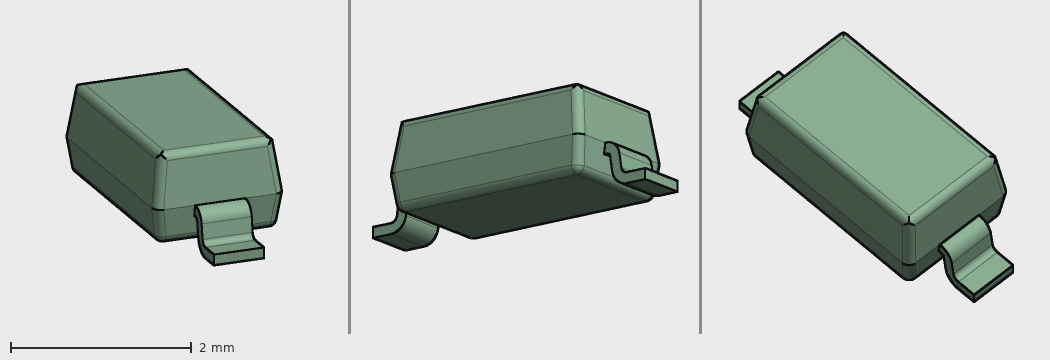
import cadquery as cq
import math

overall_length = 3.75
overall_height = 1.15

housing_length = 2.65
housing_width = 1.55
standoff = 0.098
parting_height = 0.52
draft_angle = 8.0
corner_radius = 0.1
rim_radius = 0.1

lead_width = 0.6
lead_thickness = 0.128
foot_length = 0.25
lead_slope = 9.0
foot_inner_radius = 0.08
shoulder_inner_radius = 0.052


def housing_half(height):
    """Drafted block from the parting plane; a negative height builds downward."""
    return (
        cq.Workplane("XY", origin=(0, 0, parting_height))
        .rect(housing_length, housing_width)
        .extrude(height, taper=draft_angle)
    )


def make_housing():
    upper_half = housing_half(overall_height - parting_height)
    lower_half = housing_half(standoff - parting_height)
    block = upper_half.union(lower_half)
    mitred_top = block.faces(">Z").edges().fillet(rim_radius)
    rounded_corners = block.edges("not(#Z)").fillet(corner_radius)
    rounded_bottom = rounded_corners.faces("<Z").edges().fillet(rim_radius)
    return rounded_bottom.intersect(mitred_top)


def make_left_lead(housing):
    """Bent strip whose inner end lies flush against the sloped housing face."""
    slope = math.radians(lead_slope)
    foot_outer_radius = foot_inner_radius + lead_thickness
    shoulder_outer_radius = shoulder_inner_radius + lead_thickness

    foot_end_x = -overall_length / 2
    foot_x = foot_end_x + foot_length
    foot_z = foot_outer_radius
    shoulder_z = parting_height - shoulder_outer_radius
    radius_sum = foot_inner_radius + shoulder_outer_radius
    leg_length = (shoulder_z - foot_z + radius_sum * math.sin(slope)) / math.cos(slope)
    shoulder_x = foot_x + radius_sum * math.cos(slope) + leg_length * math.sin(slope)

    def on_foot_bend(radius, angle):
        return (foot_x + radius * math.sin(angle), foot_z - radius * math.cos(angle))

    def on_shoulder_bend(radius, angle):
        return (shoulder_x - radius * math.sin(angle), shoulder_z + radius * math.cos(angle))

    bend_angle = math.pi / 2 - slope
    half_bend = bend_angle / 2
    inner_x = -housing_length / 2 + lead_thickness

    strip = (
        cq.Workplane("XZ")
        .moveTo(foot_end_x, 0)
        .lineTo(foot_x, 0)
        .threePointArc(
            on_foot_bend(foot_outer_radius, half_bend), on_foot_bend(foot_outer_radius, bend_angle)
        )
        .lineTo(*on_shoulder_bend(shoulder_inner_radius, bend_angle))
        .threePointArc(
            on_shoulder_bend(shoulder_inner_radius, half_bend), on_shoulder_bend(shoulder_inner_radius, 0)
        )
        .lineTo(inner_x, parting_height - lead_thickness)
        .lineTo(inner_x, parting_height)
        .lineTo(shoulder_x, parting_height)
        .threePointArc(
            on_shoulder_bend(shoulder_outer_radius, half_bend),
            on_shoulder_bend(shoulder_outer_radius, bend_angle),
        )
        .lineTo(*on_foot_bend(foot_inner_radius, bend_angle))
        .threePointArc(on_foot_bend(foot_inner_radius, half_bend), on_foot_bend(foot_inner_radius, 0))
        .lineTo(foot_end_x, lead_thickness)
        .close()
        .extrude(lead_width / 2, both=True)
    )
    return strip.cut(housing)


housing = make_housing()
left_lead = make_left_lead(housing)

leads = []
for turn in (0, 180):
    lead = left_lead.rotate((0, 0, 0), (0, 0, 1), turn)
    leads.append(lead.solids().val())

result = cq.Compound.makeCompound([housing.solids().val(), *leads])